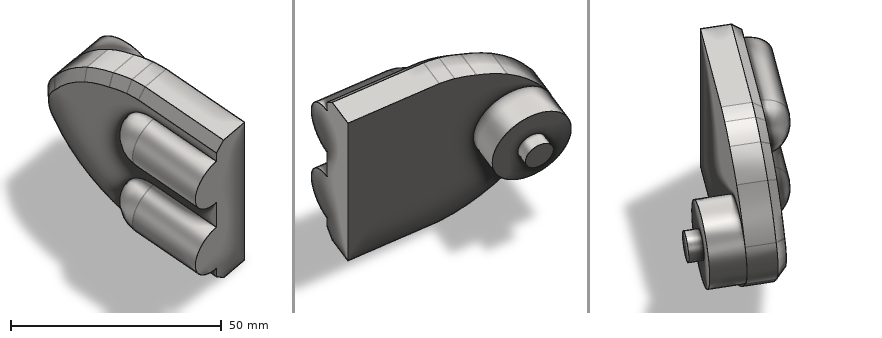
import cadquery as cq
import math

length = 56.0
width = 50.05
plate_thickness = 10.0
edge_chamfer = 2.5
chamfer_angle = 45
straight_length = 25.0
nose_radius = 10.9
nose_half_width = 6.7
half_width = width / 2
shoulder_x = length - straight_length
nose_end_x = nose_radius - math.sqrt(nose_radius**2 - nose_half_width**2)

upper_joints = [(12.5, 17.8), (20.85, 22.3), (26.8, 24.4)]
lower_middle = (16.25, 20.3)
flank_radius = 38.1

pivot_diameter = 21.6
pivot_height = 9.0
pin_diameter = 7.7
pin_height = 3.65

finger_radius = 7.5
finger_length = 20.0
finger_tip_length = 8.95
finger_offset = 12.0


def add_flank_arc(sketch, start, end):
    """Add an arc of the flank radius from start to end, bowing to the left of travel."""
    dx = end[0] - start[0]
    dz = end[1] - start[1]
    half_chord = math.hypot(dx, dz) / 2
    arc_height = flank_radius - math.sqrt(flank_radius**2 - half_chord**2)
    bulge = arc_height / (2 * half_chord)
    middle = (
        (start[0] + end[0]) / 2 - dz * bulge,
        (start[1] + end[1]) / 2 + dx * bulge,
    )
    return sketch.threePointArc(middle, end)


def make_outline():
    """Closed plate outline, drawn past the flat end so that only its rim tapers."""
    upper_nose = (nose_end_x, nose_half_width)
    lower_nose = (nose_end_x, -nose_half_width)
    flank = [upper_nose, *upper_joints, (shoulder_x, half_width)]
    overrun = length + edge_chamfer
    outline = (
        cq.Workplane("XZ", origin=(0, edge_chamfer, 0))
        .moveTo(overrun, -half_width)
        .lineTo(shoulder_x, -half_width)
        .threePointArc((lower_middle[0], -lower_middle[1]), lower_nose)
        .threePointArc((0, 0), upper_nose)
    )
    for start, end in zip(flank, flank[1:]):
        outline = add_flank_arc(outline, start, end)
    return outline.lineTo(overrun, half_width).close()


def make_plate():
    """Straight body plus a 45-degree tapered rim, trimmed flat at +X; front face at Y = 0."""
    body = make_outline().extrude(edge_chamfer - plate_thickness)
    rim = make_outline().extrude(edge_chamfer, taper=chamfer_angle)
    trim = cq.Workplane("XY").box(length, plate_thickness, width, centered=(False, False, True))
    return body.union(rim).intersect(trim)


def make_pivot():
    """Disc and smaller pin standing on the back of the plate."""
    back = cq.Workplane("XZ", origin=(nose_radius, plate_thickness, 0))
    disc = back.circle(pivot_diameter / 2).extrude(-pivot_height)
    pin = back.circle(pin_diameter / 2).extrude(-(pivot_height + pin_height))
    return disc.union(pin)


def make_finger(z):
    """Half-round finger, revolved about the front face, with a slightly pointed tip."""
    shoulder = length - finger_length
    tip = shoulder - finger_tip_length
    return (
        cq.Workplane("XY", origin=(0, 0, z))
        .moveTo(length, 0)
        .lineTo(length, -finger_radius)
        .lineTo(shoulder, -finger_radius)
        .tangentArcPoint((tip, 0), relative=False)
        .close()
        .revolve(180, (0, 0), (1, 0))
        .rotate((0, 0, z), (1, 0, z), -90)
    )


result = make_plate().union(make_pivot())
for side in (-1, 1):
    result = result.union(make_finger(side * finger_offset))